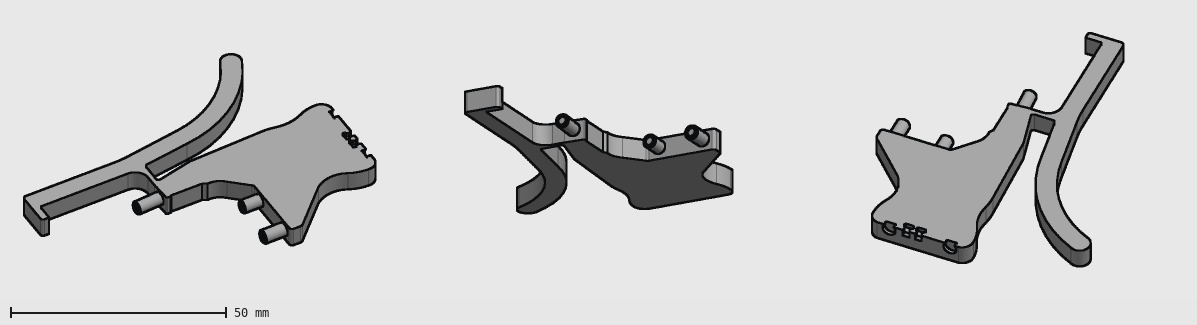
import cadquery as cq
import math

thickness = 5.1
length = 77.55
width = 59.95

leg_left = 19.6
leg_right = 24.5
foot_tip = 28.8
foot_height = 1.9
lever_tip_radius = 2.55
lever_tip = (lever_tip_radius, 65.1)
lever_tip_slope = math.radians(28)
lever_bend_y = 26.3

slot_floor = 30.1
bridge_bottom = 28.7
bridge_end = (36.2, 29.0)

shelf_y = 48.7
body_left_shoulder = (25.3, 74.7)
body_right_shoulder = (50.6, 74.7)

pin_diameter = 3.25
pin_chamfer = 0.3
pin_recess_diameter = 2.0
pin_recess_depth = 0.2
pin_z = 2.9
pin_embed = 0.8
tilted_pin_x = 33.35
tilted_pin_end = 22.2
tilted_pin_angle = 3.7
shelf_pin_x = 45.4
shelf_pin_end = 43.7
outer_pin_x = 56.8
outer_pin_end = 42.9
outer_pin_diameter = 3.4

socket_diameter = 3.25
socket_depth = 1.1
socket_z = 3.95
socket_xs = (29.9, shelf_pin_x)
keyhole_xs = (38.0, 41.1)
keyhole_floor = 3.95
keyhole_ramp_drop = 0.6
keyhole_neck_length = 0.7
keyhole_length = 2.25
ramp_margin = 0.8


def tip_point(side):
    """End of the lever's round tip: side +1 is the outer edge, -1 the inner edge."""
    return (
        lever_tip[0] + side * lever_tip_radius * math.sin(lever_tip_slope),
        lever_tip[1] + side * lever_tip_radius * math.cos(lever_tip_slope),
    )


def make_plate():
    tip_end = (
        lever_tip[0] - lever_tip_radius * math.cos(lever_tip_slope),
        lever_tip[1] + lever_tip_radius * math.sin(lever_tip_slope),
    )
    leg_bottom_left = (leg_left, 0)
    foot_bottom = (foot_tip, 0)
    foot_inner = (leg_right, foot_height)
    leg_bridge = (leg_right, bridge_bottom)
    lever_bend = (leg_left, lever_bend_y)
    slot_left = (24.05, slot_floor)
    slot_right = (30.1, slot_floor)
    shelf_start = (42.4, shelf_y)
    shelf_end = (width, shelf_y)
    nose = (width, 51.7)
    outline = (
        cq.Workplane("XY")
        .moveTo(*leg_bottom_left)
        .lineTo(*foot_bottom)
        .lineTo(foot_tip, foot_height)
        .lineTo(*foot_inner)
        .lineTo(*leg_bridge)
        .lineTo(31.0, bridge_bottom)
        .lineTo(*bridge_end)
        .lineTo(36.2, 30.1)
        .lineTo(36.0, 30.4)
        .lineTo(36.0, 38.55)
        .lineTo(36.6, 39.7)
        .threePointArc((36.8, 41.8), (38.2, 44.0))
        .lineTo(*shelf_start)
        .lineTo(*shelf_end)
        .lineTo(*nose)
        .lineTo(50.25, 61.5)
        .threePointArc((48.55, 65.8), (49.4, 69.9))
        .threePointArc((50.25, 72.2), body_right_shoulder)
        .threePointArc((50.0, 76.6), (48.4, length))
        .lineTo(27.8, length)
        .threePointArc((26.0, 76.6), body_left_shoulder)
        .threePointArc((25.6, 72.2), (26.45, 70.0))
        .threePointArc((27.45, 66.85), (27.3, 62.7))
        .threePointArc((27.1, 60.95), (27.1, 59.2))
        .lineTo(27.85, 39.85)
        .lineTo(*slot_right)
        .lineTo(*slot_left)
        .lineTo(22.25, 42.3)
        .threePointArc((16.1, 57.55), tip_point(1))
        .threePointArc(tip_end, tip_point(-1))
        .threePointArc((12.2, 54.45), (17.2, 42.3))
        .lineTo(*lever_bend)
        .close()
    )
    plate = outline.extrude(thickness)
    rounded_corners = (
        (leg_bottom_left, 0.9),
        (foot_bottom, 0.7),
        (foot_inner, 0.5),
        (leg_bridge, 3.4),
        (slot_left, 0.8),
        (slot_right, 0.6),
        (lever_bend, 26.4),
        (shelf_start, 0.85),
        (shelf_end, 0.8),
        (nose, 0.9),
        (bridge_end, 0.2),
    )
    for (x, y), radius in rounded_corners:
        corner = cq.selectors.NearestToPointSelector((x, y, thickness / 2))
        plate = plate.edges("|Z").edges(corner).fillet(radius)
    return plate


def make_pin(x, y_root, y_end, diameter, tilt=0):
    """Pin with a chamfered, slightly recessed end, rooted inside the plate and tilted about its root."""
    y_start = y_root + pin_embed
    pin = (
        cq.Workplane("XY", origin=(x, 0, pin_z))
        .moveTo(0, y_start)
        .lineTo(diameter / 2, y_start)
        .lineTo(diameter / 2, y_end + pin_chamfer)
        .lineTo(diameter / 2 - pin_chamfer, y_end)
        .lineTo(pin_recess_diameter / 2, y_end)
        .lineTo(pin_recess_diameter / 2, y_end + pin_recess_depth)
        .lineTo(0, y_end + pin_recess_depth)
        .close()
        .revolve(360, (0, 0), (0, 1))
    )
    return pin.rotate((x, y_root, 0), (x, y_root, 1), tilt)


def make_socket(x):
    """Round blind hole in the +Y edge, breaking out through the top face."""
    return (
        cq.Workplane("XZ", origin=(x, length, socket_z))
        .circle(socket_diameter / 2)
        .extrude(socket_depth)
    )


def make_keyhole(x):
    """Pocket with a flared neck, a wider inner end and a floor ramping down to the edge."""
    half_outline = (
        (0.85, 0),
        (0.6, keyhole_neck_length),
        (0.85, 1.25),
        (1.2, 1.5),
        (1.2, 1.9),
        (0.9, keyhole_length),
    )
    right = [(x + dx, length - depth) for dx, depth in half_outline]
    left = [(x - dx, length - depth) for dx, depth in reversed(half_outline)]
    ramp_bottom = keyhole_floor - keyhole_ramp_drop
    pocket = cq.Workplane("XY").workplane(offset=ramp_bottom).polyline(right + left).close()
    pocket = pocket.extrude(thickness - ramp_bottom)
    inner_end = length - keyhole_length - ramp_margin
    ramp = (
        cq.Workplane("YZ", origin=(x, 0, 0))
        .moveTo(length, ramp_bottom)
        .lineTo(length - keyhole_neck_length, keyhole_floor)
        .lineTo(inner_end, keyhole_floor)
        .lineTo(inner_end, ramp_bottom)
        .close()
        .extrude(keyhole_length, both=True)
    )
    return pocket.cut(ramp)


result = make_plate()
result = result.union(make_pin(shelf_pin_x, shelf_y, shelf_pin_end, pin_diameter))
result = result.union(make_pin(outer_pin_x, shelf_y, outer_pin_end, outer_pin_diameter))
result = result.union(make_pin(tilted_pin_x, bridge_bottom, tilted_pin_end, pin_diameter, tilted_pin_angle))
for socket_x in socket_xs:
    result = result.cut(make_socket(socket_x))
for keyhole_x in keyhole_xs:
    result = result.cut(make_keyhole(keyhole_x))